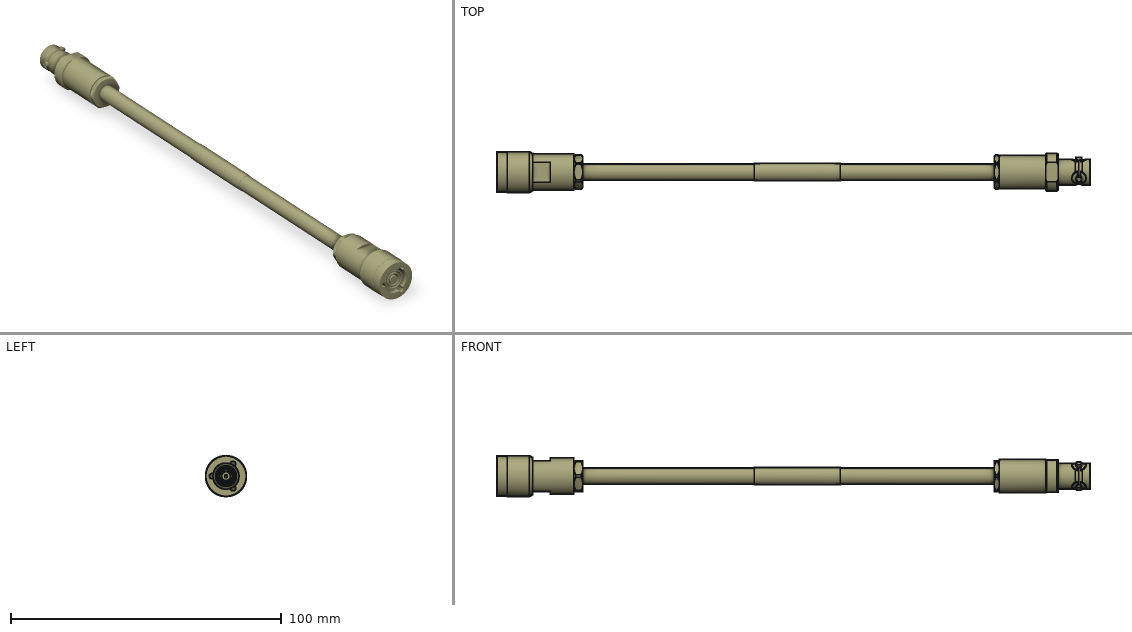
import cadquery as cq
import math

TOTAL_LENGTH = 219.3

CABLE_RADIUS = 3.0
MARKER_START = 95.2
MARKER_END = 127.0
MARKER_RADIUS = 3.3
MARKER_END_RADIUS = 6.4 / 2
MARKER_TAPER = 2.0

CLAMP_FLAT = 5.7
CLAMP_CORNER_RADIUS = 6.4
PLUG_CLAMP_LENGTH = 3.3
JACK_CLAMP_LENGTH = 2.0
HEX_SIDES = 6
HEX_BEVEL = 0.7

NUT_LENGTH = 13.4
NUT_GRIP_RADIUS = 15.1 / 2
NUT_COLLAR_RADIUS = 7.5
NUT_COLLAR_LENGTH = 4.0
NUT_BEVEL_LENGTH = 1.3
NUT_BORE_RADIUS = 4.8
NUT_SLOT_WIDTH = 2.0
NUT_SLOT_DEPTH = 6.1
NUT_SLOT_LENGTH = 6.5

PLUG_END = 28.5
PLUG_RADIUS = 6.8
PLUG_FLAT = 5.7
PLUG_FLAT_END = 19.7
NOSE_START = 1.0
NOSE_RADIUS = 7.7 / 2
NOSE_RECESS_DEPTH = 2.6
OUTER_CONTACT_BORE = 6.8 / 2
MIDDLE_CONTACT_RADIUS = 2.9
MIDDLE_CONTACT_BORE = 4.5 / 2
INSULATOR_RADIUS = 1.65
PIN_RADIUS = 0.55
PIN_SEAT_DEPTH = 4.4

JACK_START = 185.8
JACK_RADIUS = 12.5 / 2
FLANGE_START = 202.9
FLANGE_END = 207.5
FLANGE_RADIUS = 7.0
FLANGE_FLAT = 12.0 / 2
FLANGE_BEVEL = 0.5
TIP_RADIUS = 4.8
STUD_COUNT = 3
STUD_X = 215.2
STUD_RADIUS = 1.0
STUD_TOP = 5.5
STUD_RING_RADIUS = 2.6
STUD_RING_DEPTH = 0.2
GROOVE_WIDTH = 2.6
GROOVE_DEPTH = 0.5

STUD_ANGLES = [i * 360 / STUD_COUNT for i in range(STUD_COUNT)]


def turned(points):
    """Solid of revolution about the X axis from (x, radius) points."""
    return cq.Workplane("XZ").polyline(points).close().revolve(360, (0, 0, 0), (1, 0, 0))


def rod(start, end, radius):
    """Plain cylinder along the X axis."""
    return turned([(start, 0), (start, radius), (end, radius), (end, 0)])


def tube(start, end, outer_radius, inner_radius):
    """Plain ring along the X axis."""
    return turned([(start, inner_radius), (start, outer_radius), (end, outer_radius), (end, inner_radius)])


def bevelled_disc(start, end, radius, bevel):
    """Round disc along the X axis with both rims bevelled."""
    return turned([
        (start, 0),
        (start, radius - bevel),
        (start + bevel, radius),
        (end - bevel, radius),
        (end, radius - bevel),
        (end, 0),
    ])


def hexagon(start, end, flat, corner_radius, bevel):
    """Hexagonal disc with a flat on top, its corners turned down and bevelled."""
    corner = flat / math.cos(math.pi / HEX_SIDES)
    prism = cq.Workplane("YZ", origin=(start, 0, 0)).polygon(HEX_SIDES, 2 * corner).extrude(end - start)
    return prism.intersect(bevelled_disc(start, end, corner_radius, bevel))


def around_axis(shape):
    """Copies of a shape on the +Y side, one at each bayonet stud angle."""
    return [shape.rotate((0, 0, 0), (1, 0, 0), angle) for angle in STUD_ANGLES]


def cut_flats(body, start, end, radius, flat):
    """Cut wrench flats above and below a round stretch of a body."""
    length = end - start
    height = radius - flat
    for side in (1, -1):
        centre = (start + length / 2, 0, side * (flat + height / 2))
        cutter = cq.Workplane("XY", origin=centre).box(length, 2 * radius, height)
        body = body.cut(cutter)
    return body


def make_coupling_nut():
    bevel_start = NUT_LENGTH - NUT_BEVEL_LENGTH
    nut = turned([
        (0, NUT_BORE_RADIUS),
        (0, NUT_COLLAR_RADIUS),
        (NUT_COLLAR_LENGTH, NUT_COLLAR_RADIUS),
        (NUT_COLLAR_LENGTH, NUT_GRIP_RADIUS),
        (bevel_start, NUT_GRIP_RADIUS),
        (NUT_LENGTH, PLUG_RADIUS),
        (NUT_LENGTH, NUT_BORE_RADIUS),
    ])
    slot_centre = NUT_SLOT_DEPTH - NUT_SLOT_WIDTH / 2
    slot = (
        cq.Workplane("YZ")
        .center(slot_centre, 0)
        .circle(NUT_SLOT_WIDTH / 2)
        .extrude(NUT_SLOT_LENGTH)
        .union(
            cq.Workplane("YZ")
            .center(slot_centre / 2, 0)
            .rect(slot_centre, NUT_SLOT_WIDTH)
            .extrude(NUT_SLOT_LENGTH)
        )
    )
    for copy in around_axis(slot):
        nut = nut.cut(copy)
    return nut


def make_plug_body():
    body = rod(NUT_LENGTH, PLUG_END, PLUG_RADIUS)
    body = cut_flats(body, NUT_LENGTH, PLUG_FLAT_END, PLUG_RADIUS, PLUG_FLAT)
    body = body.union(rod(NOSE_START, NUT_LENGTH, NOSE_RADIUS))
    recess_end = NOSE_START + NOSE_RECESS_DEPTH
    body = body.cut(tube(NOSE_START, recess_end, OUTER_CONTACT_BORE, MIDDLE_CONTACT_RADIUS))
    body = body.cut(tube(NOSE_START, recess_end, MIDDLE_CONTACT_BORE, INSULATOR_RADIUS))
    return body.cut(rod(NOSE_START, NOSE_START + PIN_SEAT_DEPTH, PIN_RADIUS))


def make_centre_pin():
    pin_end = NOSE_START + PIN_SEAT_DEPTH
    return rod(NOSE_START, pin_end, PIN_RADIUS)


def make_plug_clamp():
    end = PLUG_END + PLUG_CLAMP_LENGTH
    nut = hexagon(PLUG_END, end, CLAMP_FLAT, CLAMP_CORNER_RADIUS, HEX_BEVEL)
    return nut.cut(rod(PLUG_END, end, CABLE_RADIUS))


def make_jack_clamp():
    start = JACK_START - JACK_CLAMP_LENGTH
    nut = hexagon(start, JACK_START, CLAMP_FLAT, CLAMP_CORNER_RADIUS, HEX_BEVEL)
    return nut.cut(rod(start, JACK_START, CABLE_RADIUS))


def make_cable():
    return rod(PLUG_END, JACK_START, CABLE_RADIUS)


def make_marker():
    return turned([
        (MARKER_START, CABLE_RADIUS),
        (MARKER_START, MARKER_END_RADIUS),
        (MARKER_START + MARKER_TAPER, MARKER_RADIUS),
        (MARKER_END - MARKER_TAPER, MARKER_RADIUS),
        (MARKER_END, MARKER_END_RADIUS),
        (MARKER_END, CABLE_RADIUS),
    ])


def make_jack_body():
    body = rod(JACK_START, FLANGE_START, JACK_RADIUS)
    flange = bevelled_disc(FLANGE_START, FLANGE_END, FLANGE_RADIUS, FLANGE_BEVEL)
    flange = cut_flats(flange, FLANGE_START, FLANGE_END, FLANGE_RADIUS, FLANGE_FLAT)
    body = body.union(flange)
    body = body.union(rod(FLANGE_END, TOTAL_LENGTH, TIP_RADIUS))
    groove = turned([
        (STUD_X - GROOVE_WIDTH / 2, TIP_RADIUS),
        (STUD_X, TIP_RADIUS - GROOVE_DEPTH),
        (STUD_X + GROOVE_WIDTH / 2, TIP_RADIUS),
    ])
    body = body.cut(groove)
    recess_skin = tube(FLANGE_END, TOTAL_LENGTH, STUD_TOP, TIP_RADIUS - STUD_RING_DEPTH)
    side = cq.Workplane("XZ", origin=(STUD_X, 0, 0))
    recess = side.circle(STUD_RING_RADIUS).extrude(-STUD_TOP).intersect(recess_skin)
    stud = side.circle(STUD_RADIUS).extrude(-STUD_TOP)
    for copy in around_axis(recess):
        body = body.cut(copy)
    for copy in around_axis(stud):
        body = body.union(copy)
    return body


coupling_nut = make_coupling_nut()
plug_body = make_plug_body()
centre_pin = make_centre_pin()
plug_clamp = make_plug_clamp()
cable = make_cable()
marker = make_marker()
jack_clamp = make_jack_clamp()
jack_body = make_jack_body()

result = cq.Compound.makeCompound([
    coupling_nut.val(),
    plug_body.val(),
    centre_pin.val(),
    plug_clamp.val(),
    cable.val(),
    marker.val(),
    jack_clamp.val(),
    jack_body.val(),
])